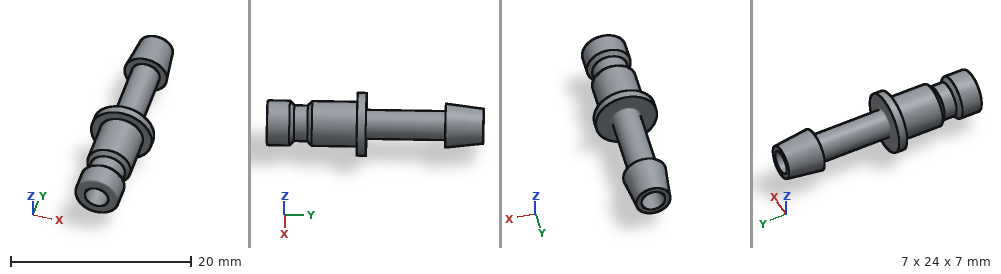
import cadquery as cq

overall_length = 24.0
bore_diameter = 2.7

body_radius = 5.0 / 2
nose_round = 0.25
groove_depth = 0.5
groove_start = 2.5
groove_end = 5.0
groove_radius = body_radius - groove_depth

flange_radius = 7.0 / 2
flange_start = 10.0
flange_thickness = 1.0
flange_end = flange_start + flange_thickness

stem_radius = 3.25 / 2
stem_root_round = 0.15
barb_length = 4.2
barb_base_radius = 4.9 / 2
barb_tip_radius = 3.9 / 2
barb_start = overall_length - barb_length


def round_edge(solid, radius, y, size):
    """Round the circular edge of the given radius that lies at height y along the axis."""
    margin = 0.01
    reach = radius + margin
    box = cq.selectors.BoxSelector((-reach, y - margin, -reach), (reach, y + margin, reach), boundingbox=True)
    return solid.edges(box).fillet(size)


def turned_blank():
    """Solid of revolution carrying the body, groove, flange, stem and barb."""
    profile = (
        cq.Workplane("XY")
        .moveTo(0, 0)
        .lineTo(body_radius, 0)
        .lineTo(body_radius, groove_start)
        .lineTo(groove_radius, groove_start + groove_depth)
        .lineTo(groove_radius, groove_end - groove_depth)
        .lineTo(body_radius, groove_end)
        .lineTo(body_radius, flange_start)
        .lineTo(flange_radius, flange_start)
        .lineTo(flange_radius, flange_end)
        .lineTo(stem_radius, flange_end)
        .lineTo(stem_radius, barb_start)
        .lineTo(barb_base_radius, barb_start)
        .lineTo(barb_tip_radius, overall_length)
        .lineTo(0, overall_length)
        .close()
    )
    return profile.revolve(360, (0, 0, 0), (0, 1, 0))


def through_bore():
    """Cylinder that opens the fluid passage along the whole axis."""
    return cq.Workplane("XZ").circle(bore_diameter / 2).extrude(-overall_length)


blank = turned_blank()
blank = round_edge(blank, body_radius, 0, nose_round)
blank = round_edge(blank, stem_radius, flange_end, stem_root_round)
result = blank.cut(through_bore())